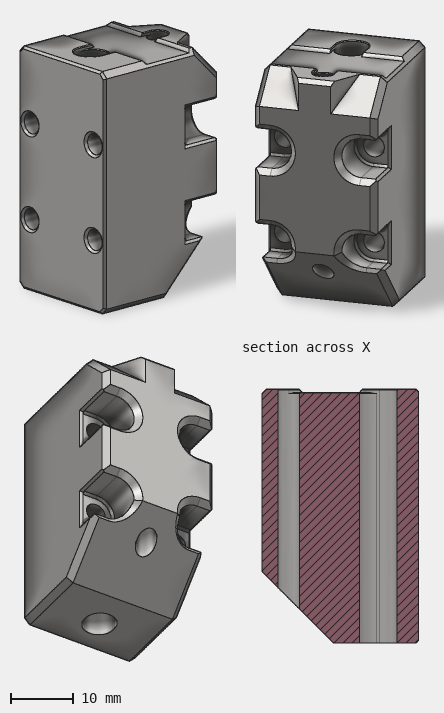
import cadquery as cq
import math

width = 20.6
depth = 24.98
height = 40.5
top_slope = 5.3
bottom_slope = 11.4
side_chamfer = 1.0
front_chamfer = 0.4

boss_back_half_width = 2.7
boss_flare_angle = 30.0
boss_chamfer = 0.73

groove_depth = 0.55
groove_start = 9.47
groove_end = 18.5

large_hole_diameter = 5.4
large_hole_straight = 0.5
large_hole_y = 6.45
small_hole_diameter = 3.4
small_hole_y = 20.7
rim_chamfer = 0.15

screw_hole_diameter = 3.5
screw_hole_chamfer = 0.4
screw_spacing_x = 15.0
screw_spacing_z = 16.0
lower_screw_z = 11.95
pocket_diameter = 6.5
pocket_depth = 7.35
pocket_chamfer = 0.4
mouth_chamfer = 0.4

half_width = width / 2
half_spacing = screw_spacing_x / 2
pocket_radius = pocket_diameter / 2
pocket_floor = depth - pocket_depth
groove_floor = height - groove_depth
slope_start_y = depth - top_slope
chamfer_angle = 45
tolerance = 0.0005
overrun = 0.4
screw_heights = (lower_screw_z, lower_screw_z + screw_spacing_z)
screw_places = [(side, z) for side in (-1, 1) for z in screw_heights]


def box(x_range, y_range, z_range):
    """Axis-aligned box between the given limits."""
    sizes = [high - low for low, high in (x_range, y_range, z_range)]
    corner = (x_range[0], y_range[0], z_range[0])
    return cq.Workplane("XY").box(*sizes, centered=False).translate(corner)


def make_block():
    """Side profile drawn in YZ and extruded across the width."""
    profile = [
        (0, 0),
        (depth - bottom_slope, 0),
        (depth, bottom_slope),
        (depth, height - top_slope),
        (slope_start_y, height),
        (0, height),
    ]
    return cq.Workplane("YZ").polyline(profile).close().extrude(half_width, both=True)


def make_pocket(side, z):
    """Round-ended pocket with a chamfered floor, open to the back and to one side."""
    centre_x = side * half_spacing
    outer_x = side * (half_width + overrun)
    round_end = (
        cq.Workplane("XZ", origin=(centre_x, pocket_floor, z))
        .circle(pocket_radius)
        .extrude(-(pocket_depth + overrun))
    )
    mouth = box(
        sorted((centre_x, outer_x)),
        (pocket_floor, depth + overrun),
        (z - pocket_radius, z + pocket_radius),
    )
    return round_end.union(mouth).faces("<Y").chamfer(pocket_chamfer)


def outline_margin(point):
    """Signed distance measure, zero on the bottom, top, back and sloped faces."""
    return min(
        point.z,
        height - point.z,
        depth - point.y,
        depth - bottom_slope + point.z - point.y,
        slope_start_y + height - point.z - point.y,
    )


def is_side_edge(edge):
    """True for outline edges along the side faces and the pocket openings."""
    points = (edge.startPoint(), edge.positionAt(0.5), edge.endPoint())
    on_outline = all(abs(outline_margin(point)) < tolerance for point in points)
    spans_width = abs(edge.Center().x) < tolerance
    return on_outline and not spans_width


def make_side_mouth(side, z):
    """Cutter that chamfers the opening of a pocket in a side face."""
    start_y = pocket_floor - mouth_chamfer
    end_y = depth + overrun + mouth_chamfer
    return (
        cq.Workplane("YZ", origin=(side * half_width, (start_y + end_y) / 2, z))
        .rect(end_y - start_y, pocket_diameter + 2 * mouth_chamfer)
        .extrude(-side * mouth_chamfer, taper=chamfer_angle)
    )


def make_boss():
    """Flared boss level with the top and back faces."""
    front_half_width = boss_back_half_width + top_slope * math.tan(math.radians(boss_flare_angle))
    outline = [
        (-boss_back_half_width, depth),
        (boss_back_half_width, depth),
        (front_half_width, slope_start_y),
        (-front_half_width, slope_start_y),
    ]
    boss = cq.Workplane("XY", origin=(0, 0, height - top_slope)).polyline(outline).close()
    return boss.extrude(top_slope).edges(">Y and >Z").chamfer(boss_chamfer)


def make_groove():
    """Groove along X with walls that lean outwards."""
    profile = [
        (groove_start, groove_floor),
        (groove_end, groove_floor),
        (groove_end + groove_depth, height),
        (groove_start - groove_depth, height),
    ]
    return cq.Workplane("YZ").polyline(profile).close().extrude(half_width, both=True)


def upright_slot(end_centres, diameter, top_z, drop, taper=0):
    """Slot going down from top_z, its round ends centred at the two given Y positions."""
    start_y, end_y = end_centres
    straight = end_y - start_y
    plane = cq.Workplane("XY", origin=(0, (start_y + end_y) / 2, top_z))
    if straight > 0:
        outline = plane.slot2D(straight + diameter, diameter, 90)
    else:
        outline = plane.circle(diameter / 2)
    return outline.extrude(-drop, taper=taper)


def make_rim(end_centres, diameter, top_z):
    """Cutter that chamfers the upper rim of a slot or hole."""
    return upright_slot(end_centres, diameter + 2 * rim_chamfer, top_z, rim_chamfer, taper=chamfer_angle)


def make_vertical_hole(centre_y, diameter, straight=0):
    """Through hole, lengthened by straight, with a notch into the groove and chamfered rims."""
    hole_ends = (centre_y - straight / 2, centre_y + straight / 2)
    groove_middle = (groove_start + groove_end) / 2
    notch_ends = (min(hole_ends[0], groove_middle), max(hole_ends[1], groove_middle))
    hole = upright_slot(hole_ends, diameter, height, height)
    notch = upright_slot(notch_ends, diameter, height, groove_depth)
    notch_rim = make_rim(notch_ends, diameter, height)

    below_notch = upright_slot(notch_ends, diameter, groove_floor, rim_chamfer)
    floor_rim = make_rim(hole_ends, diameter, groove_floor).intersect(below_notch)
    return hole.union(notch).union(notch_rim).union(floor_rim)


def make_screw_hole(side, z):
    """Hole from the front face to the pocket floor, chamfered at the front."""
    radius = screw_hole_diameter / 2
    front = cq.Workplane("XZ", origin=(side * half_spacing, 0, z))
    hole = front.circle(radius).extrude(-(pocket_floor + overrun))
    rim = front.circle(radius + screw_hole_chamfer).extrude(-screw_hole_chamfer, taper=chamfer_angle)
    return hole.union(rim)


body = make_block()
for side, z in screw_places:
    body = body.cut(make_pocket(side, z))

side_edges = [edge for edge in body.edges().vals() if is_side_edge(edge)]
body = body.newObject(side_edges).chamfer(side_chamfer)
body = body.faces("<Y").chamfer(front_chamfer)

for side, z in screw_places:
    body = body.cut(make_side_mouth(side, z))
    body = body.cut(make_screw_hole(side, z))

body = body.union(make_boss()).cut(make_groove())
body = body.cut(make_vertical_hole(large_hole_y, large_hole_diameter, large_hole_straight))
body = body.cut(make_vertical_hole(small_hole_y, small_hole_diameter))

result = body